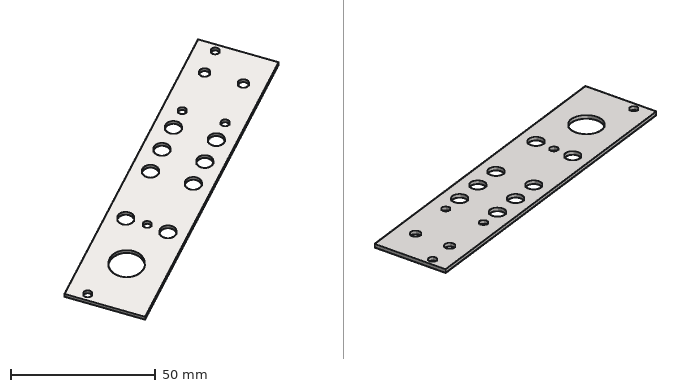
import cadquery as cq

WIDTH = 30.0
LENGTH = 128.5
THICKNESS = 1.5

MOUNT_DIAMETER = 3.2
MOUNT_X = -7.5
MOUNT_Y = 61.3

SWITCH_DIAMETER = 4.0
SWITCH_X = 7.2
SWITCH_Y = 50.5

SMALL_DIAMETER = 3.2
SMALL_PAIR_Y = 31.0

JACK_DIAMETER = 6.0
JACK_X = 8.0
JACK_TOP_Y = 22.5
JACK_PITCH = 11.0
JACK_ROWS = 3
LOWER_LEFT_Y = -23.4
LOWER_RIGHT_Y = -24.0

LARGE_DIAMETER = 12.7
LARGE_Y = -43.2


def mirrored_pair(x, y):
    """Two points placed symmetrically about the panel centreline."""
    return [(-x, y), (x, y)]


def drill(panel, diameter, centres):
    """Cut through holes of one diameter at the given centres."""
    return panel.faces(">Z").workplane(origin=(0, 0, 0)).pushPoints(centres).hole(diameter)


mount_centres = [(MOUNT_X, MOUNT_Y), (MOUNT_X, -MOUNT_Y)]
small_centres = mirrored_pair(JACK_X, SMALL_PAIR_Y) + [(0, LOWER_LEFT_Y)]

jack_centres = [(-JACK_X, LOWER_LEFT_Y), (JACK_X, LOWER_RIGHT_Y)]
for row in range(JACK_ROWS):
    jack_centres += mirrored_pair(JACK_X, JACK_TOP_Y - row * JACK_PITCH)

panel = cq.Workplane("XY").box(WIDTH, LENGTH, THICKNESS, centered=(True, True, False))
panel = drill(panel, MOUNT_DIAMETER, mount_centres)
panel = drill(panel, SWITCH_DIAMETER, mirrored_pair(SWITCH_X, SWITCH_Y))
panel = drill(panel, SMALL_DIAMETER, small_centres)
panel = drill(panel, JACK_DIAMETER, jack_centres)
panel = drill(panel, LARGE_DIAMETER, [(0, LARGE_Y)])

result = panel